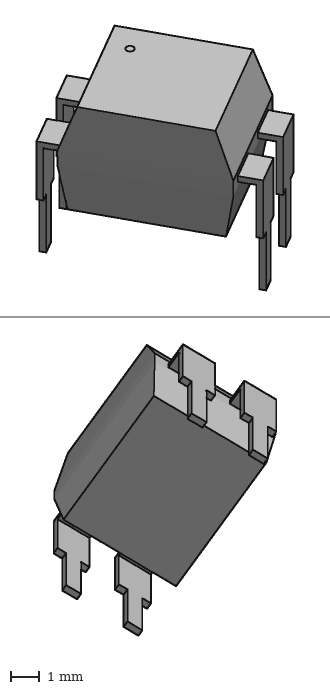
import cadquery as cq


band_length = 6.31
band_width = 5.0
top_length = 4.96
top_width = 4.765
bottom_length = 5.675
bottom_width = 4.65
top_z = 7.24
band_top_z = 5.29
band_bottom_z = 4.62
bottom_z = 2.65

lead_span = 8.13
lead_pitch = 2.54
lead_thickness = 0.25
lead_top_z = 5.07
shoulder_z = 2.54
shoulder_width = 1.325
tip_width = 0.62

marker_diameter = 0.32
marker_depth = 0.08
marker_x = -1.61
marker_y = lead_pitch / 2


def make_taper(start_z, end_z, end_length, end_width):
    """Frustum from the band outline at start_z to a smaller rectangle at end_z."""
    return (
        cq.Workplane("XY", origin=(0, 0, start_z))
        .rect(band_length, band_width)
        .workplane(offset=end_z - start_z)
        .rect(end_length, end_width)
        .loft(ruled=True)
    )


def make_marker():
    return (
        cq.Workplane("XY", origin=(marker_x, marker_y, top_z - marker_depth))
        .circle(marker_diameter / 2)
        .extrude(marker_depth)
    )


def make_housing(marker):
    """Housing with a recess in the top face that the marker fills."""
    band = (
        cq.Workplane("XY", origin=(0, 0, band_bottom_z))
        .rect(band_length, band_width)
        .extrude(band_top_z - band_bottom_z)
    )
    upper = make_taper(band_top_z, top_z, top_length, top_width)
    lower = make_taper(band_bottom_z, bottom_z, bottom_length, bottom_width)
    return band.union(upper).union(lower).cut(marker)


def make_lead(side, center_y):
    """Lead bent down from the housing band; side is -1 or 1 along X."""
    outer_x = side * lead_span / 2
    inner_x = outer_x - side * lead_thickness
    housing_x = side * band_length / 2
    bent_strip = (
        cq.Workplane("XZ", origin=(0, center_y, 0))
        .moveTo(housing_x, lead_top_z)
        .lineTo(outer_x, lead_top_z)
        .lineTo(outer_x, shoulder_z)
        .lineTo(inner_x, shoulder_z)
        .lineTo(inner_x, lead_top_z - lead_thickness)
        .lineTo(housing_x, lead_top_z - lead_thickness)
        .close()
        .extrude(shoulder_width / 2, both=True)
    )
    tip = (
        cq.Workplane("XY", origin=((outer_x + inner_x) / 2, center_y, 0))
        .rect(lead_thickness, tip_width)
        .extrude(shoulder_z)
    )
    return bent_strip.union(tip)


marker = make_marker()
housing = make_housing(marker)
leads = [
    make_lead(side, row * lead_pitch / 2)
    for side in (-1, 1)
    for row in (-1, 1)
]

result = cq.Compound.makeCompound(
    [housing.solids().val(), marker.val(), *[lead.solids().val() for lead in leads]]
)